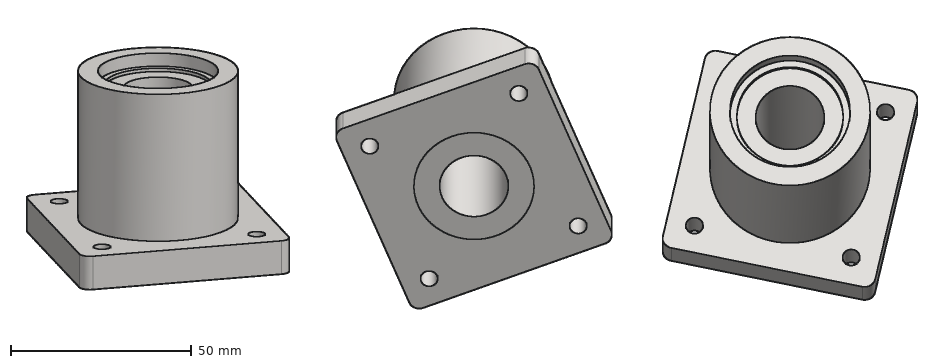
import cadquery as cq

flange_side = 60.3
flange_thickness = 9.7
corner_radius = 3.0
bolt_hole_diameter = 4.75
bolt_spacing = 44.5

total_height = 52.35
barrel_diameter = 44.45
bore_diameter = 33.35

ring_outer_diameter = 37.15
ring_inner_diameter = 29.5
ring_thickness = 0.95
ring_depth = 3.8
ring_top = total_height - ring_depth
ring_bottom = ring_top - ring_thickness

bushing_inner_diameter = 19.05
bushing_height = ring_bottom


def cylinder(diameter, height, base_z=0.0):
    """Upright cylinder on the Z axis."""
    return cq.Workplane("XY").workplane(offset=base_z).circle(diameter / 2).extrude(height)


def tube(outer_diameter, inner_diameter, height, base_z=0.0):
    """Upright tube on the Z axis."""
    outer = cylinder(outer_diameter, height, base_z)
    return outer.cut(cylinder(inner_diameter, height, base_z))


def make_flange():
    """Square plate with rounded corners and four bolt holes."""
    plate = cq.Workplane("XY").rect(flange_side, flange_side).extrude(flange_thickness)
    plate = plate.edges("|Z").fillet(corner_radius)
    bolt_holes = (
        cq.Workplane("XY")
        .rect(bolt_spacing, bolt_spacing, forConstruction=True)
        .vertices()
        .circle(bolt_hole_diameter / 2)
        .extrude(flange_thickness)
    )
    return plate.cut(bolt_holes)


def make_housing():
    """Flanged barrel with a through bore and a groove for the retaining ring."""
    body = make_flange().union(cylinder(barrel_diameter, total_height))
    bore = cylinder(bore_diameter, total_height)
    ring_groove = cylinder(ring_outer_diameter, ring_thickness, ring_bottom)
    return body.cut(bore).cut(ring_groove)


def make_retaining_ring():
    """Flat ring that holds the bushing in the bore."""
    return tube(ring_outer_diameter, ring_inner_diameter, ring_thickness, ring_bottom)


def make_bushing():
    """Plain sleeve from the bottom face up to the retaining ring."""
    return tube(bore_diameter, bushing_inner_diameter, bushing_height)


housing = make_housing()
retaining_ring = make_retaining_ring()
bushing = make_bushing()

result = cq.Compound.makeCompound([housing.val(), retaining_ring.val(), bushing.val()])